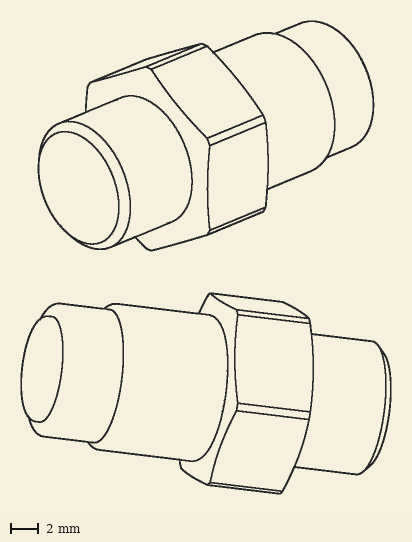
import cadquery as cq
import math

total_length = 25.7

spigot_diameter = 9.75
spigot_length = 6.7
spigot_chamfer = 0.6

hex_across_flats = 13.0
hex_corner_diameter = 14.7
hex_length = 6.01
hex_chamfer_angle = 15.0

body_diameter = 10.7
body_length = 7.97

neck_diameter = spigot_diameter
tip_diameter = 7.7
tip_length = 0.72

edge_fillet = 0.5

front_y = -total_length / 2
hex_start = front_y + spigot_length
hex_end = hex_start + hex_length
body_end = hex_end + body_length
tip_end = front_y + total_length
neck_end = tip_end - tip_length


def cylinder(diameter, start, end):
    """Solid cylinder on the Y axis between two stations."""
    plane = cq.Workplane("XZ", origin=(0, start, 0))
    return plane.circle(diameter / 2).extrude(start - end)


def make_hexagon():
    """Hexagon with flats on +X and -X, rounded corners and coned ends."""
    sharp_diameter = hex_across_flats / math.cos(math.pi / 6)
    prism = (
        cq.Workplane("XZ", origin=(0, hex_start, 0))
        .transformed(rotate=(0, 0, 30))
        .polygon(6, sharp_diameter)
        .extrude(-hex_length)
    )
    face_radius = hex_across_flats / 2
    outer_radius = hex_corner_diameter / 2
    cone_length = (outer_radius - face_radius) * math.tan(math.radians(hex_chamfer_angle))
    coned_blank = (
        cq.Workplane("XY")
        .moveTo(0, hex_start)
        .lineTo(face_radius, hex_start)
        .lineTo(outer_radius, hex_start + cone_length)
        .lineTo(outer_radius, hex_end - cone_length)
        .lineTo(face_radius, hex_end)
        .lineTo(0, hex_end)
        .close()
        .revolve(360, (0, 0, 0), (0, 1, 0))
    )
    return prism.intersect(coned_blank)


spigot = cylinder(spigot_diameter, front_y, hex_start).faces("<Y").chamfer(spigot_chamfer)
body = cylinder(body_diameter, hex_end, body_end).edges().fillet(edge_fillet)
neck = cylinder(neck_diameter, body_end, neck_end).faces(">Y").edges().fillet(edge_fillet)
tip = cylinder(tip_diameter, neck_end, tip_end).faces(">Y").edges().fillet(edge_fillet)

result = spigot.union(make_hexagon()).union(body).union(neck).union(tip)